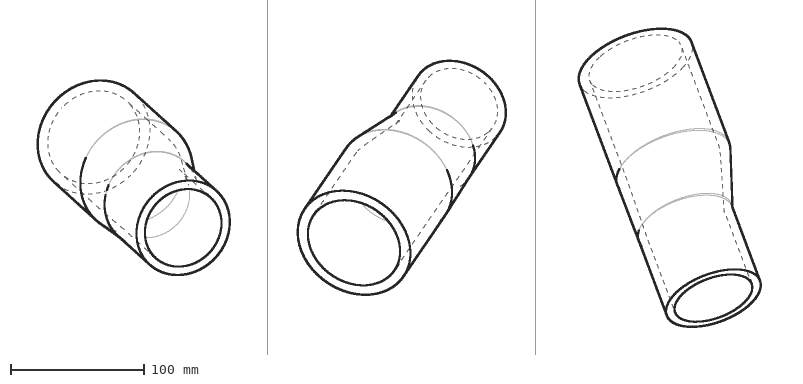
import cadquery as cq

total_length = 214.0
large_length = 92.9
taper_length = 52.0
large_outer = 90.0
large_bore = 73.6
small_outer = 75.0
small_bore = 61.5
blend_radius = 7.5
flush_step = 0.2

small_length = total_length - large_length - taper_length
taper_end = large_length + taper_length
small_axis_y = flush_step - (large_outer - small_outer) / 2


def pipe_body(large_diameter, small_diameter):
    """Solid with a large cylinder, an eccentric taper and a small cylinder."""
    large_end = cq.Workplane("YZ").circle(large_diameter / 2).extrude(large_length)
    taper = (
        cq.Workplane("YZ", origin=(large_length, 0, 0))
        .circle(large_diameter / 2)
        .workplane(offset=taper_length)
        .center(small_axis_y, 0)
        .circle(small_diameter / 2)
        .loft(ruled=True)
    )
    small_end = (
        cq.Workplane("YZ", origin=(taper_end, small_axis_y, 0))
        .circle(small_diameter / 2)
        .extrude(small_length)
    )
    return large_end.union(taper).union(small_end)


outer_body = pipe_body(large_outer, small_outer)
taper_rims = outer_body.edges("%CIRCLE").filter(lambda edge: 0 < round(edge.Center().x, 3) < total_length)
blended_body = taper_rims.fillet(blend_radius)

bore = pipe_body(large_bore, small_bore)
result = blended_body.cut(bore)